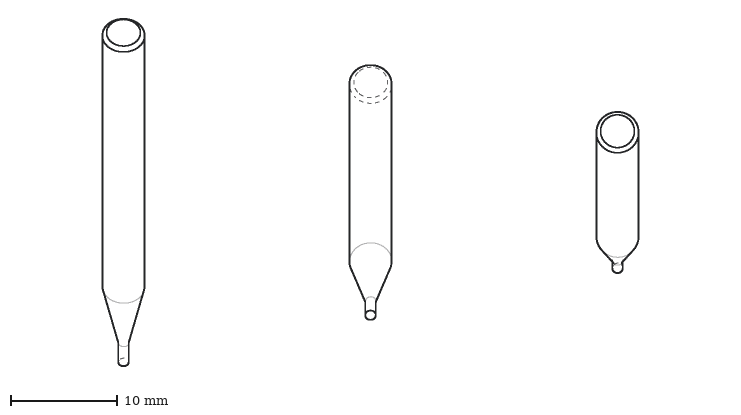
import cadquery as cq

total_length = 50.0
shank_radius = 2.0
tip_radius = 0.5

tip_length = 3.0
shank_start = 11.5

chamfer_height = 0.4
chamfer_width = 0.4

profile = (
    cq.Workplane("XZ")
    .moveTo(0, 0)
    .lineTo(tip_radius, 0)
    .lineTo(tip_radius, tip_length)
    .lineTo(shank_radius, shank_start)
    .lineTo(shank_radius, total_length - chamfer_height)
    .lineTo(shank_radius - chamfer_width, total_length)
    .lineTo(0, total_length)
    .close()
)

result = profile.revolve(360, (0, 0, 0), (0, 1, 0))